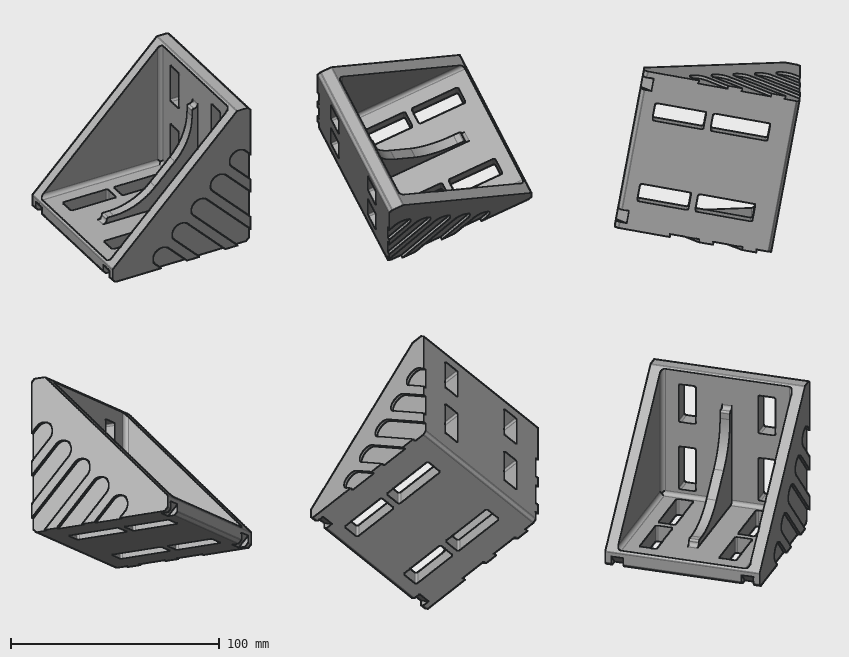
import cadquery as cq
import math


width = 78.0
leg = 76.0
leg_tip = 7.5
edge_chamfer = 1.6
profile_round = 0.5

plate = 8.5
pocket_width = 66.7
pocket_fillet = 2.0

rib_width = 5.0
rib_end = 60.5
rib_arc_end = 54.5
rib_arc_radius = 32.1
tip_concave = 2.0
tip_convex = 1.0

window_spacing = 40.2
window_width = 8.65
window_corner = 1.0
back_windows = [(12.25, 34.95), (47.9, 67.9)]
base_windows = [(8.2, 33.1), (36.4, 64.3)]

groove_count = 5
groove_radius = 5.0
groove_depth = 1.5
groove_middle = 27.6
groove_step = 10.5

notch_spacing = 65.8
notch_width = 6.1
notch_size = 5.2

rear_y = leg / 2
front_y = -leg / 2
diagonal_angle = 45
diagonal = math.cos(math.radians(diagonal_angle))


def side_point(depth, height):
    """YZ point given by its distance in front of the rear face and its height."""
    return (rear_y - depth, height)


def extrude_about_center(profile, thickness):
    """Extrude a YZ profile symmetrically about X = 0."""
    return profile.extrude(thickness / 2, both=True)


def make_body():
    corners = [
        (edge_chamfer, 0),
        (leg - edge_chamfer, 0),
        (leg, edge_chamfer),
        (leg, leg_tip),
        (leg_tip, leg),
        (edge_chamfer, leg),
        (0, leg - edge_chamfer),
        (0, edge_chamfer),
    ]
    outline = cq.Workplane("YZ").polyline([side_point(*corner) for corner in corners]).close()
    return extrude_about_center(outline, width).edges("|X").fillet(profile_round)


def make_pocket():
    block = cq.Workplane("XY").box(pocket_width, leg, leg).translate((0, -plate, leg / 2 + plate))
    rounded_floor = block.edges("|Y and <Z").fillet(pocket_fillet)
    rounded_back = block.edges("|Z and >Y").fillet(pocket_fillet)
    rounded_root = block.edges("|X").edges("<Z and >Y").fillet(pocket_fillet)
    return rounded_floor.intersect(rounded_back).intersect(rounded_root)


def mirrored(depth, height):
    """Mirror image of a profile point about the 45-degree line through the rear corner."""
    return (height, depth)


def make_rib():
    tip_top = (plate, rib_end)
    concave_middle = (
        plate + tip_concave * (1 - diagonal),
        rib_end - tip_concave * diagonal,
    )
    tip_step = (plate + tip_concave, rib_end - tip_concave)
    convex_middle = (
        tip_step[0] + tip_convex * diagonal,
        tip_step[1] - tip_convex * (1 - diagonal),
    )
    face_top = (tip_step[0] + tip_convex, tip_step[1] - tip_convex)
    arc_top = (face_top[0], rib_arc_end)
    arc_center_depth = face_top[0] + rib_arc_radius
    half_turn = math.radians(diagonal_angle / 2)
    arc_middle = (
        arc_center_depth - rib_arc_radius * math.cos(half_turn),
        rib_arc_end - rib_arc_radius * math.sin(half_turn),
    )
    arc_bottom = (
        arc_center_depth - rib_arc_radius * diagonal,
        rib_arc_end - rib_arc_radius * diagonal,
    )

    outline = (
        cq.Workplane("YZ")
        .moveTo(*side_point(*tip_top))
        .threePointArc(side_point(*concave_middle), side_point(*tip_step))
        .threePointArc(side_point(*convex_middle), side_point(*face_top))
        .lineTo(*side_point(*arc_top))
        .threePointArc(side_point(*arc_middle), side_point(*arc_bottom))
        .lineTo(*side_point(*mirrored(*arc_bottom)))
        .threePointArc(side_point(*mirrored(*arc_middle)), side_point(*mirrored(*arc_top)))
        .lineTo(*side_point(*mirrored(*face_top)))
        .threePointArc(side_point(*mirrored(*convex_middle)), side_point(*mirrored(*tip_step)))
        .threePointArc(side_point(*mirrored(*concave_middle)), side_point(*mirrored(*tip_top)))
        .lineTo(*side_point(plate, plate))
        .close()
    )
    return extrude_about_center(outline, rib_width)


def make_back_window(x, start, end):
    cutter = cq.Workplane("XY").box(window_width, plate, end - start).edges("|Y").fillet(window_corner)
    return cutter.translate((x, rear_y - plate / 2, (start + end) / 2))


def make_base_window(x, start, end):
    cutter = cq.Workplane("XY").box(window_width, end - start, plate).edges("|Z").fillet(window_corner)
    return cutter.translate((x, front_y + (start + end) / 2, plate / 2))


def make_groove(index, x_start):
    """Round-ended groove running down at 45 degrees to the rear and bottom edges of a side face."""
    shift = (index - (groove_count - 1) / 2) * groove_step
    end_y, end_z = side_point(groove_middle + shift, groove_middle - shift)
    length = leg + 2 * groove_radius
    groove = cq.Workplane("YZ").slot2D(length, 2 * groove_radius, -diagonal_angle).extrude(groove_depth)
    center_offset = leg / 2 * diagonal
    return groove.translate((x_start, end_y + center_offset, end_z - center_offset))


def make_notch(x):
    """Wedge that bevels the lower front edge at 45 degrees over a short width."""
    outline = cq.Workplane("YZ").polyline(
        [
            (front_y, 0),
            (front_y + notch_size, 0),
            (front_y, notch_size),
        ]
    ).close()
    return extrude_about_center(outline, notch_width).translate((x, 0, 0))


result = make_body().cut(make_pocket()).union(make_rib())

for side in (-1, 1):
    window_x = side * window_spacing / 2
    for start, end in back_windows:
        result = result.cut(make_back_window(window_x, start, end))
    for start, end in base_windows:
        result = result.cut(make_base_window(window_x, start, end))
    result = result.cut(make_notch(side * notch_spacing / 2))

for groove_start in (-width / 2, width / 2 - groove_depth):
    for index in range(groove_count):
        result = result.cut(make_groove(index, groove_start))